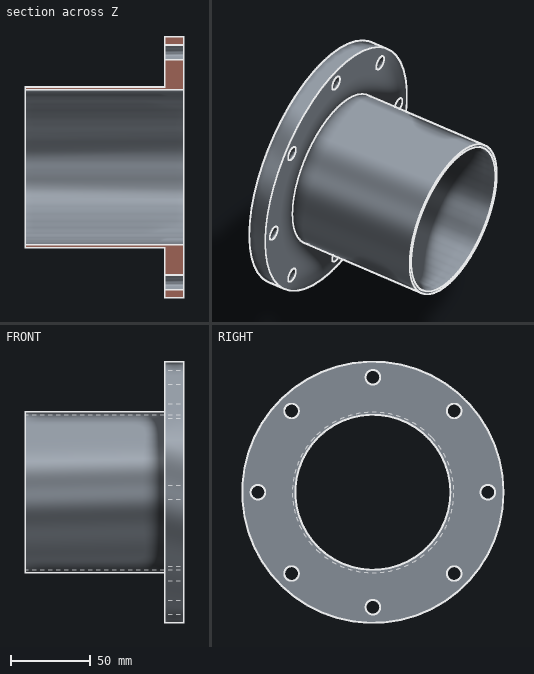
import cadquery as cq

total_length = 100.0
flange_diameter = 165.0
flange_thickness = 12.0
pipe_outer_diameter = 101.6
bore_diameter = 97.7

bolt_hole_count = 8
bolt_hole_diameter = 9.0
bolt_circle_diameter = 145.0

flange_start = total_length - flange_thickness


def make_pipe():
    return cq.Workplane("YZ").circle(pipe_outer_diameter / 2).extrude(total_length)


def make_flange():
    return (
        cq.Workplane("YZ", origin=(flange_start, 0, 0))
        .circle(flange_diameter / 2)
        .extrude(flange_thickness)
    )


def make_bore():
    return cq.Workplane("YZ").circle(bore_diameter / 2).extrude(total_length)


def make_bolt_holes():
    return (
        cq.Workplane("YZ", origin=(flange_start, 0, 0))
        .polarArray(bolt_circle_diameter / 2, 0, 360, bolt_hole_count)
        .circle(bolt_hole_diameter / 2)
        .extrude(flange_thickness)
    )


result = make_pipe().union(make_flange()).cut(make_bore()).cut(make_bolt_holes())